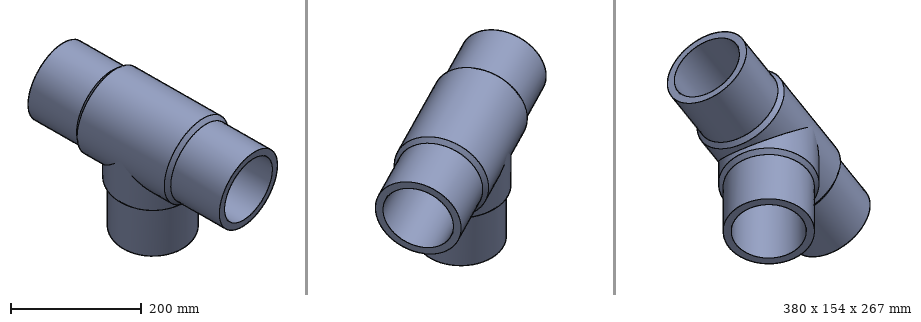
import cadquery as cq

run_length = 380.0
arm_length = run_length / 2
pipe_diameter = 140.0
bore_diameter = 114.8
body_diameter = 154.0
body_reach = 93.5
body_chamfer = (body_diameter - pipe_diameter) / 2

RUN_DIRECTIONS = ((1, 0, 0), (-1, 0, 0))
BRANCH_DIRECTION = (0, 0, -1)


def arm_plane(direction):
    """Plane at the axis crossing, facing along one arm."""
    return cq.Plane(origin=(0, 0, 0), normal=direction)


def arm_cylinder(direction, diameter, length):
    """Cylinder from the axis crossing outward along one arm."""
    return cq.Workplane(arm_plane(direction)).circle(diameter / 2).extrude(length)


def outer_arm(direction):
    """Pipe end joined to its share of the thickened body."""
    pipe = arm_cylinder(direction, pipe_diameter, arm_length)
    body = arm_cylinder(direction, body_diameter, body_reach)
    end_face = cq.selectors.DirectionMinMaxSelector(cq.Vector(*direction), True)
    body = body.faces(end_face).chamfer(body_chamfer)
    return pipe.union(body)


directions = (*RUN_DIRECTIONS, BRANCH_DIRECTION)
result = cq.Workplane("XY")
for direction in directions:
    result = result.union(outer_arm(direction))
result = result.clean()

for direction in directions:
    result = result.cut(arm_cylinder(direction, bore_diameter, arm_length))